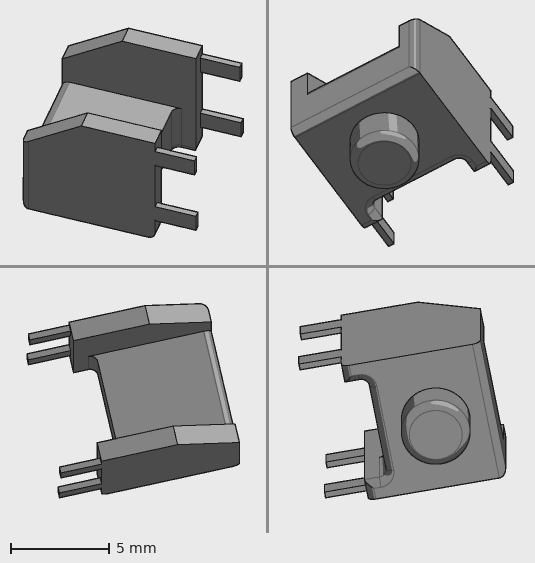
import cadquery as cq

body_length = 7.19
body_width = 7.5
body_height = 6.8
wall_thickness = 1.005
front_height = 4.53
slope_length = 3.23
floor_height = 3.0
floor_length = 6.01
edge_radius = 0.4

peg_diameter = 3.5
peg_length = 2.0
peg_center_x = 3.0

pin_thickness = 0.33
pin_height = 1.0
upper_pin_base = 5.22
lower_pin_base = 1.3
upper_pin_end = 9.315
lower_pin_end = 9.39
pin_embed = 0.47

inner_width = body_width - 2 * wall_thickness
outer_y = body_width / 2


def make_body():
    """Extrude the side profile, open the channel and round the outer edges."""
    profile = [
        (0, 0),
        (body_length, 0),
        (body_length, body_height),
        (slope_length, body_height),
        (0, front_height),
    ]
    block = cq.Workplane("XZ").polyline(profile).close().extrude(outer_y, both=True)
    channel = (
        cq.Workplane("XY")
        .box(body_length, inner_width, body_height, centered=(False, True, False))
        .translate((0, 0, floor_height))
    )
    rear_gap = (
        cq.Workplane("XY")
        .box(body_length, inner_width, body_height, centered=(False, True, False))
        .translate((floor_length, 0, 0))
        .edges("|Z and <X")
        .fillet(edge_radius)
    )
    body = block.cut(channel).cut(rear_gap)
    body = body.edges("|Z and <X and <Y").add(body.edges("|Y and <Z")).fillet(edge_radius)
    floor_front = cq.selectors.NearestToPointSelector((0, 0, floor_height))
    return body.edges(floor_front).fillet(edge_radius)


def make_peg():
    """Round peg with a rounded tip, rooted inside the floor for a firm joint."""
    return (
        cq.Workplane("XY")
        .workplane(offset=-peg_length)
        .center(peg_center_x, 0)
        .circle(peg_diameter / 2)
        .extrude(peg_length + floor_height / 2)
        .faces("<Z")
        .edges()
        .fillet(edge_radius)
    )


def make_pin(base_z, end_x, inner_y):
    """Flat pin running back from inside a wall; inner_y is its lower Y face."""
    start_x = body_length - pin_embed
    return (
        cq.Workplane("XY")
        .box(end_x - start_x, pin_thickness, pin_height, centered=False)
        .translate((start_x, inner_y, base_z))
    )


result = make_body().union(make_peg())
for pin_y in (-outer_y, outer_y - pin_thickness):
    result = result.union(make_pin(upper_pin_base, upper_pin_end, pin_y))
    result = result.union(make_pin(lower_pin_base, lower_pin_end, pin_y))